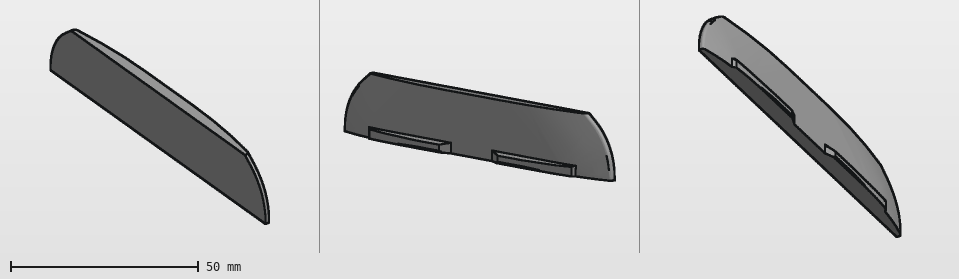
import cadquery as cq
import math

length = 96.95
height = 17.0
plate_thickness = 3.8
overall_thickness = 5.0

upright_height = 1.0
corner_radius = 17.8
corner_end_height = 14.9

wall_height = 0.7
shoulder_inset = 0.6
shoulder_height = 1.55

pad_height = 2.9
pad_inner_foot = 7.5
pad_inner_top = 10.7
pad_crown_end = 19.4
pad_knee = 31.5
pad_knee_thickness = 4.7
pad_outer_top = 36.6
pad_outer_foot = 37.7
pad_outer_thickness = 4.3
pad_root = 2.4
pad_step_thickness = 4.8
pad_step_low = 0.3
pad_step_high = 0.5
pad_slope_low = 2.1
pad_outer_foot_thickness = 3.2

clearance = 1.9
slope_cut_length = 38.8

half_length = length / 2
corner_x = half_length - corner_radius
corner_angle = math.asin((corner_end_height - upright_height) / corner_radius)
corner_end_x = corner_x + corner_radius * math.cos(corner_angle)
slope_end_x = corner_end_x - (height - corner_end_height) * math.tan(corner_angle)

dome_run = corner_radius - shoulder_inset
dome_rise = plate_thickness - shoulder_height
dome_radius = (dome_run**2 + dome_rise**2) / (2 * dome_rise)
dome_mid_x = dome_run / 2
dome_mid_y = plate_thickness - dome_radius + math.sqrt(dome_radius**2 - dome_mid_x**2)

shoulder_mid_x = dome_run + shoulder_inset * math.sqrt(0.5)
shoulder_mid_y = wall_height + (shoulder_height - wall_height) * math.sqrt(0.5)


def corner_point(angle):
    return (
        corner_x + corner_radius * math.cos(angle),
        upright_height + corner_radius * math.sin(angle),
    )


def make_plate():
    middle_x, middle_z = corner_point(corner_angle / 2)
    return (
        cq.Workplane("XZ")
        .moveTo(-half_length, 0)
        .lineTo(half_length, 0)
        .lineTo(half_length, upright_height)
        .threePointArc((middle_x, middle_z), corner_point(corner_angle))
        .lineTo(slope_end_x, height)
        .lineTo(-slope_end_x, height)
        .lineTo(-corner_end_x, corner_end_height)
        .threePointArc((-middle_x, middle_z), (-half_length, upright_height))
        .close()
        .extrude(-plate_thickness)
    )


def removed_section(angle):
    """Area above the end section, in the radial plane at an angle about the corner centre."""
    radial = cq.Vector(math.cos(angle), 0, math.sin(angle))
    normal = radial.cross(cq.Vector(0, 1, 0))
    plane = cq.Plane(origin=(corner_x, 0, upright_height), xDir=radial, normal=normal)
    outside = corner_radius + clearance
    return (
        cq.Workplane(plane)
        .moveTo(0, plate_thickness)
        .threePointArc((dome_mid_x, dome_mid_y), (dome_run, shoulder_height))
        .threePointArc((shoulder_mid_x, shoulder_mid_y), (corner_radius, wall_height))
        .lineTo(outside, wall_height)
        .lineTo(outside, plate_thickness + clearance)
        .lineTo(0, plate_thickness + clearance)
        .close()
    )


def dome_right_end(plate):
    """Round the back of the right end along the upright, the corner and the slope."""
    upright_cut = removed_section(0).extrude(-upright_height - clearance)
    corner_cut = removed_section(0).revolve(math.degrees(corner_angle), (0, 0), (0, -1))
    slope_cut = removed_section(corner_angle).extrude(slope_cut_length)
    return plate.cut(upright_cut).cut(corner_cut).cut(slope_cut)


def make_right_pad():
    """Pad with sloped ends, a sloped upper side and a small step along the lower edge."""
    lengthwise = (
        cq.Workplane("XY")
        .polyline([
            (pad_inner_foot, pad_root),
            (pad_inner_foot, plate_thickness),
            (pad_inner_top, overall_thickness),
            (pad_crown_end, overall_thickness),
            (pad_knee, pad_knee_thickness),
            (pad_outer_top, pad_outer_thickness),
            (pad_outer_foot, pad_outer_foot_thickness),
            (pad_outer_foot, pad_root),
        ])
        .close()
        .extrude(pad_height)
    )
    crosswise = (
        cq.Workplane("YZ")
        .polyline([
            (pad_root, 0),
            (pad_step_thickness, 0),
            (pad_step_thickness, pad_step_low),
            (overall_thickness, pad_step_high),
            (overall_thickness, pad_slope_low),
            (plate_thickness, pad_height),
            (pad_root, pad_height),
        ])
        .close()
        .extrude(half_length)
    )
    return lengthwise.intersect(crosswise)


plate = dome_right_end(make_plate())
plate = dome_right_end(plate.mirror("YZ"))
right_pad = make_right_pad()
result = plate.union(right_pad).union(right_pad.mirror("YZ"))